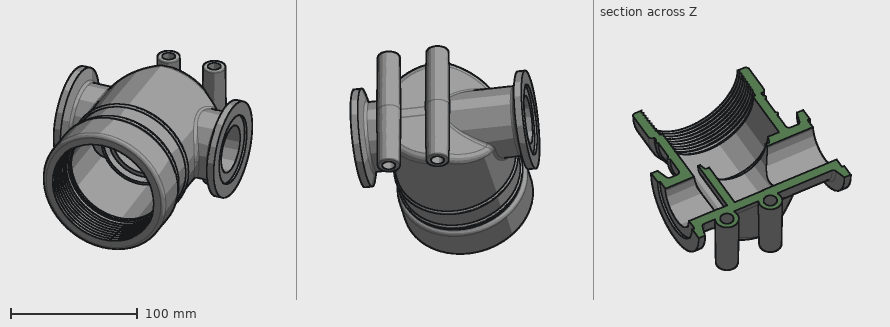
import cadquery as cq
import math


overall_length = 137.4
pipe_radius = 27.8
bore_radius = 19.1
flange_radius = 39.0
flange_rim = 6.0
flange_cone_length = 2.8
flange_neck_fillet = 2.7
flange_neck_rise = 1.8
recess_radius = 27.8
recess_depth = 2.0

body_radius = 48.41
cavity_radius = 81.0 / 2
back_y = 27.5
back_round = 6.0
roof_y = 19.4
slanted_wall = 8.5
slant_angle = 30
pipe_body_fillet = 2.8

ring_height = 1.5
ring_width = 3.3
ring_places = (-46.0, -65.3)

collar_radius = 52.3
collar_back_y = -70.1
mouth_y = -100.2
collar_round = 3.1

thread_root_radius = 44.5
thread_depth = 1.3
thread_pitch = 3.18
thread_turns = 8
thread_taper = 1 / 32
relief_radius = 85.5 / 2
relief_end_y = -70.7
cavity_chamfer = 0.7
cavity_chamfer_length = 1.4

seat_outer_radius = 32.5
seat_hole_radius = 50.7 / 2
seat_step_radius = 57.7 / 2
seat_mouth_radius = 30.5
seat_end_y = -pipe_radius
seat_depth = 5.7

post_x = (0.0, 39.2)
post_y = 31.59
post_middle_radius = 9.54
post_end_radius = 8.98
post_half_height = 52.3
post_hole_radius = 10.3 / 2
post_edge_round = 0.7

half_length = overall_length / 2
slant_slope = math.tan(math.radians(slant_angle))


def y_cylinder(radius, y_start, y_end):
    return cq.Workplane("XZ", origin=(0, y_start, 0)).circle(radius).extrude(y_start - y_end)


def x_cylinder(radius, x_start, x_end):
    return cq.Workplane("YZ", origin=(x_start, 0, 0)).circle(radius).extrude(x_end - x_start)


def slanted_cylinder(radius, y_start, crest_y, crest_x):
    """Cylinder along Y whose far end is flat right of crest_x and slopes down left of it."""
    left_x = -radius - 1.4
    right_x = radius + 1.4
    end_profile = (
        cq.Workplane("XY", origin=(0, 0, -radius - 1.4))
        .moveTo(left_x, y_start)
        .lineTo(right_x, y_start)
        .lineTo(right_x, crest_y)
        .lineTo(crest_x, crest_y)
        .lineTo(left_x, crest_y + (left_x - crest_x) * slant_slope)
        .close()
        .extrude(2 * (radius + 1.4))
    )
    return y_cylinder(radius, y_start, crest_y + 1.4).intersect(end_profile)


def make_body():
    """Body with a rounded back end; its slanted outside stays one wall away from the slanted roof."""
    outer_slant_y = roof_y + slanted_wall / math.cos(math.radians(slant_angle))
    crest_x = (back_y - outer_slant_y) / slant_slope
    body = slanted_cylinder(body_radius, collar_back_y, back_y, crest_x)
    back_rim = body.edges("not |Z").filter(lambda edge: abs(edge.Center().y) < back_y + 0.1)
    back_rim = back_rim.filter(lambda edge: edge.geomType() != "LINE")
    return back_rim.fillet(back_round)


def follows_pipe_seam(edge):
    """True for an edge where the pipe's outside meets the body."""
    points = [edge.positionAt(place) for place in (0.2, 0.5, 0.8)]
    on_pipe = all(abs(math.hypot(point.y, point.z) - pipe_radius) < 0.03 for point in points)
    return on_pipe and abs(edge.Center().x) < half_length - 1.4 and edge.geomType() != "LINE"


def make_posts():
    """Posts across the back of the body, tapering towards both rounded ends."""
    posts = cq.Workplane("XY")
    for x in post_x:
        upper_half = (
            cq.Workplane("XZ", origin=(x, post_y, 0))
            .lineTo(post_middle_radius, 0)
            .lineTo(post_end_radius, post_half_height)
            .lineTo(0, post_half_height)
            .close()
            .revolve(360, (0, 0, 0), (0, 1, 0))
            .faces(">Z")
            .edges()
            .fillet(post_edge_round)
        )
        posts = posts.add(upper_half).add(upper_half.mirror("XY"))
    return posts.combine()


def make_flange():
    """Flange at the +X end of the pipe, with a conical back and a filleted neck."""
    rim_x = half_length - flange_rim
    cone_x = rim_x - flange_cone_length
    neck_radius = pipe_radius + flange_neck_rise
    return (
        cq.Workplane("XY")
        .moveTo(half_length, 0)
        .lineTo(half_length, flange_radius)
        .lineTo(rim_x, flange_radius)
        .lineTo(cone_x, neck_radius)
        .radiusArc((cone_x - flange_neck_fillet, pipe_radius), flange_neck_fillet)
        .lineTo(cone_x - flange_neck_fillet, 0)
        .close()
        .revolve(360, (0, 0, 0), (1, 0, 0))
    )


def make_collar():
    collar = y_cylinder(collar_radius, mouth_y, collar_back_y)
    return collar.edges("%CIRCLE").fillet(collar_round)


def make_ring(y):
    """Raised round-topped ring."""
    half_width = ring_width / 2
    flank_radius = body_radius + ring_height - half_width
    return (
        cq.Workplane("XY")
        .moveTo(body_radius - 1.4, y - half_width)
        .lineTo(flank_radius, y - half_width)
        .threePointArc((body_radius + ring_height, y), (flank_radius, y + half_width))
        .lineTo(body_radius - 1.4, y + half_width)
        .close()
        .revolve(360, (0, 0, 0), (0, 1, 0))
    )


def make_threaded_mouth():
    """Space inside the collar: tapered vee thread, plain relief and chamfered step to the cavity."""
    profile = cq.Workplane("XY").moveTo(0, mouth_y).lineTo(thread_root_radius - thread_depth, mouth_y)
    for turn in range(thread_turns):
        start = turn * thread_pitch
        middle = start + thread_pitch / 2
        end = start + thread_pitch
        profile = profile.lineTo(thread_root_radius - middle * thread_taper, mouth_y + middle)
        profile = profile.lineTo(thread_root_radius - thread_depth - end * thread_taper, mouth_y + end)
    thread_end_y = mouth_y + thread_turns * thread_pitch
    return (
        profile.lineTo(relief_radius, thread_end_y)
        .lineTo(relief_radius, relief_end_y)
        .lineTo(cavity_radius + cavity_chamfer, relief_end_y)
        .lineTo(cavity_radius, relief_end_y + cavity_chamfer_length)
        .lineTo(0, relief_end_y + cavity_chamfer_length)
        .close()
        .revolve(360, (0, 0, 0), (0, 1, 0))
    )


def make_cavity():
    """Space round the basket, leaving the inlet pipe and the seat standing."""
    cavity = slanted_cylinder(cavity_radius, relief_end_y, roof_y, 0)
    outlet = x_cylinder(bore_radius, seat_hole_radius, half_length)
    inlet_pipe = x_cylinder(pipe_radius, -half_length, 0)
    seat = y_cylinder(seat_outer_radius, seat_end_y, roof_y + 1.4)
    return cavity.union(outlet).cut(inlet_pipe).cut(seat)


def make_inlet():
    """Inlet bore turning into the seat hole."""
    bore = x_cylinder(bore_radius, -half_length, 0)
    hole = slanted_cylinder(seat_hole_radius, seat_end_y, roof_y, 0)
    return hole.union(bore)


def make_seat_step():
    """Conical step that widens the seat hole at its open end."""
    step_y = seat_end_y + seat_depth
    return (
        cq.Workplane("XY")
        .moveTo(0, seat_end_y)
        .lineTo(seat_mouth_radius, seat_end_y)
        .lineTo(seat_step_radius, step_y)
        .lineTo(0, step_y)
        .close()
        .revolve(360, (0, 0, 0), (0, 1, 0))
    )


result = make_body().union(x_cylinder(pipe_radius, -half_length, half_length))
result = result.edges().filter(follows_pipe_seam).fillet(pipe_body_fillet)
result = result.union(make_posts())
result = result.union(make_collar())
for ring_y in ring_places:
    result = result.union(make_ring(ring_y))
flange = make_flange()
result = result.union(flange).union(flange.mirror("YZ"))

result = result.cut(make_threaded_mouth())
result = result.cut(make_cavity())
result = result.cut(make_inlet())
result = result.cut(make_seat_step())
for end_x in (-half_length, half_length - recess_depth):
    result = result.cut(x_cylinder(recess_radius, end_x, end_x + recess_depth))
for x in post_x:
    hole = cq.Workplane("XY", origin=(x, post_y, 0)).circle(post_hole_radius)
    result = result.cut(hole.extrude(post_half_height, both=True))